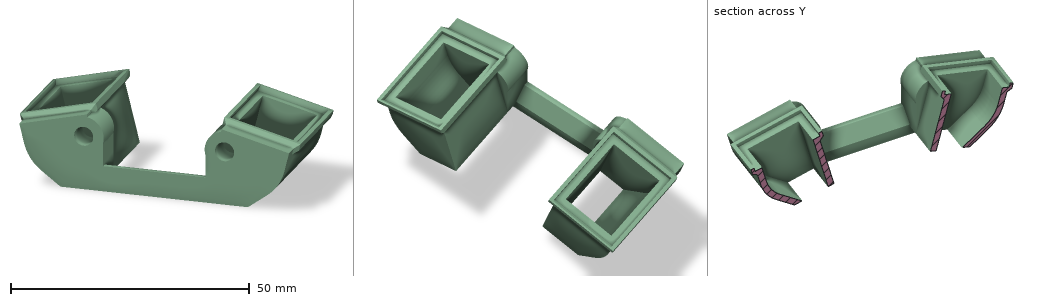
import math

import cadquery as cq


total_width = 61.86
total_depth = 26.5
total_height = 17.92
tilt = 14.0

pod_width = 15.3
pod_back = 25.0
flank_width = 5.65
flank_angle = 50.5
flank_radius = 10.0
wall = 1.5
cavity_length = 16.8

rim_overhang = 1.0
rim_width = pod_width + 2 * rim_overhang
rim_front = 4.05
rim_side_height = 1.5
rim_back_height = 0.95
rim_foot = 2.35

seat_side_clearance = 0.15
seat_width = pod_width + 2 * seat_side_clearance
seat_front = 4.95
seat_back_clearance = 0.1
seat_depth = 1.0

boss_radius = 4.4
boss_length = 7.0
pivot_diameter = 4.2
pivot_depth = boss_length - wall
pivot_x = -15.52
pivot_z = 11.77

bar_height = 5.6
bar_lip = 1.1
bar_depth = 4.0

pod_left = rim_overhang
pod_right = pod_left + pod_width
flank_end = pod_left + flank_width
flank_height = flank_width * math.tan(math.radians(flank_angle))
cavity_back = pod_back - wall
cavity_front = cavity_back - cavity_length
seat_back = pod_back + seat_back_clearance
rim_corner_x = -total_width / 2
rim_corner_z = total_height - rim_width * math.sin(math.radians(tilt))
pod_height = rim_corner_z / math.cos(math.radians(tilt)) + flank_end * math.tan(math.radians(tilt))


def to_part(x, z):
    """Part X and Z of a point given in the untilted pod frame."""
    cosine = math.cos(math.radians(tilt))
    sine = math.sin(math.radians(tilt))
    return rim_corner_x + x * cosine - z * sine, rim_corner_z + x * sine + z * cosine


def prism_along_y(points, y_start, y_end):
    """Extrude an XZ outline from y_start to y_end."""
    outline = cq.Workplane("XZ", origin=(0, y_start, 0)).polyline(points).close()
    return outline.extrude(y_start - y_end)


def prism_along_x(points, x_start, x_end):
    """Extrude a YZ outline from x_start to x_end."""
    outline = cq.Workplane("YZ", origin=(x_start, 0, 0)).polyline(points).close()
    return outline.extrude(x_end - x_start)


def pod_profile(inset, top, y_start, y_end):
    """Pod cross-section offset inwards by inset, with the flank corner rounded."""
    left = pod_left + inset
    half_angle = math.radians(90 - flank_angle) / 2
    corner_z = flank_height - pod_height + inset * math.tan(half_angle)
    floor_x = left + (corner_z + pod_height) / math.tan(math.radians(flank_angle))
    right = pod_right - inset
    points = [(left, top), (left, corner_z), (floor_x, -pod_height), (right, -pod_height), (right, top)]
    corner = cq.selectors.NearestToPointSelector((left, (y_start + y_end) / 2, corner_z))
    return prism_along_y(points, y_start, y_end).edges(corner).fillet(flank_radius - inset)


def make_rim():
    """Overhanging rim: bevelled front and undersides, mitred at the front corners."""
    bevel_front = rim_front - rim_overhang
    across = prism_along_y(
        [
            (0, 0),
            (rim_width, 0),
            (rim_width, -rim_side_height),
            (pod_right, -rim_foot),
            (pod_left, -rim_foot),
            (0, -rim_side_height),
        ],
        bevel_front,
        total_depth,
    )
    along = prism_along_x(
        [
            (rim_front, 0),
            (total_depth, 0),
            (total_depth, -rim_back_height),
            (pod_back, -rim_foot),
            (bevel_front, -rim_foot),
            (bevel_front, -rim_overhang),
        ],
        0,
        rim_width,
    )
    plan = (
        cq.Workplane("XY")
        .polyline(
            [
                (0, total_depth),
                (0, rim_front),
                (pod_left, bevel_front),
                (pod_right, bevel_front),
                (rim_width, rim_front),
                (rim_width, total_depth),
            ]
        )
        .close()
        .extrude(-rim_foot)
    )
    return across.intersect(along).intersect(plan)


def make_seat():
    """Recess in the rim; its back wall leans outwards at 45 degrees."""
    left = (rim_width - seat_width) / 2
    section = [
        (seat_front, 0),
        (seat_back + seat_depth, 0),
        (seat_back, -seat_depth),
        (seat_front, -seat_depth),
    ]
    return prism_along_x(section, left, left + seat_width)


def place_pod(shape):
    """Tilt a shape from the pod frame into the part."""
    return shape.rotate((0, 0, 0), (0, 1, 0), -tilt).translate((rim_corner_x, 0, rim_corner_z))


def make_boss():
    """Pivot boss with a web that drops from it to the inner lower corner of the pod."""
    boss = cq.Workplane("XZ").center(pivot_x, pivot_z).circle(boss_radius).extrude(-boss_length)
    corner = to_part(pod_right, -pod_height)
    web = prism_along_y([corner, (corner[0], pivot_z), (pivot_x, pivot_z)], 0, boss_length)
    return boss.union(web)


def make_side():
    """Complete left-hand pod with rim, boss and openings."""
    body = place_pod(pod_profile(0, -rim_overhang, 0, pod_back).union(make_rim()))
    body = body.union(make_boss())
    cavity = pod_profile(wall, -seat_depth, cavity_front, cavity_back)
    body = body.cut(place_pod(cavity.union(make_seat())))
    pivot = cq.Workplane("XZ").center(pivot_x, pivot_z).circle(pivot_diameter / 2).extrude(-pivot_depth)
    return body.cut(pivot)


def make_crossbar():
    """Bar between the lower flank corners, bevelled at 45 degrees along its back."""
    end = to_part(flank_end, -pod_height)[0]
    bevel = bar_depth - bar_lip
    section = [(0, 0), (0, bar_height), (bar_lip, bar_height), (bar_depth, bar_height - bevel), (bar_depth, 0)]
    return prism_along_x(section, end, -end)


left_side = make_side()
right_side = left_side.mirror("YZ")
result = left_side.union(make_crossbar()).union(right_side)